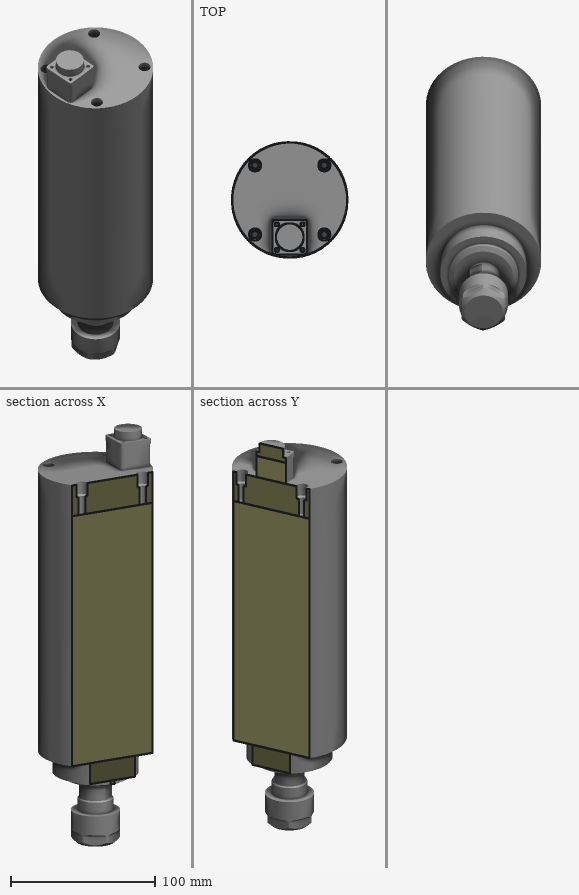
import cadquery as cq

NUT_TOP = 23.0
SHAFT_STEP = 32.5
SEAL_BOTTOM = 46.3
FLANGE_BOTTOM = 50.7
HOUSING_BOTTOM = 65.8
CAP_BOTTOM = 248.2
CAP_TOP = 270.5
PLATE_BOTTOM = 286.5
PLATE_TOP = 290.0
PLUG_TOP = 296.5

HOUSING_DIAMETER = 80.0
FLANGE_DIAMETER = 60.0
CAP_HOLE_SPACING = 48.0
CAP_BORE_DIAMETER = 8.3
CAP_BORE_DEPTH = 9.0
CAP_SEAT_HEIGHT = 1.0
CAP_HOLE_DIAMETER = 5.0

SEAL_DIAMETER = 48.0
SEAL_CHAMFER_WIDTH = 3.5
SEAL_CHAMFER_HEIGHT = 1.8

SHAFT_DIAMETER = 23.0
COLLAR_DIAMETER = 25.0
FLATS_ACROSS = 21.0
FLAT_BOTTOM = 33.2
FLAT_TOP = 44.5
FLAT_ANGLE = 30.0

NUT_DIAMETER = 34.0
HEX_SIDES = 6
HEX_ACROSS = 30.2
HEX_TOP = 9.5
HEX_RUNOUT_RADIUS = 2.0
NOSE_DIAMETER = 26.7
NOSE_HEIGHT = 3.3

CONNECTOR_WIDTH = 24.0
CONNECTOR_Y = -25.8
BLOCK_CORNER_RADIUS = 3.0
PLATE_CORNER_RADIUS = 1.5
PLATE_HOLE_SPACING = 17.8
PLATE_HOLE_DIAMETER = 2.7
PLUG_DIAMETER = 19.3


def plane_at(height, y=0):
    """A horizontal workplane centred on x = 0."""
    return cq.Workplane("XY", origin=(0, y, height))


def cylinder(diameter, bottom, top, y=0):
    """An upright cylinder between two heights."""
    return plane_at(bottom, y).circle(diameter / 2).extrude(top - bottom)


def turned(profile):
    """A solid turned about Z from (radius, height) points."""
    return cq.Workplane("XZ").polyline(profile).close().revolve(360, (0, 0, 0), (0, 1, 0))


def make_housing():
    return cylinder(HOUSING_DIAMETER, HOUSING_BOTTOM, CAP_BOTTOM)


def make_cap():
    """Rear cap with four screw holes, each bored out at the top down to a conical seat."""
    cap = cylinder(HOUSING_DIAMETER, CAP_BOTTOM, CAP_TOP)
    seat_top = CAP_TOP - CAP_BORE_DEPTH
    screw_hole = turned([
        (0, CAP_BOTTOM),
        (CAP_HOLE_DIAMETER / 2, CAP_BOTTOM),
        (CAP_HOLE_DIAMETER / 2, seat_top - CAP_SEAT_HEIGHT),
        (CAP_BORE_DIAMETER / 2, seat_top),
        (CAP_BORE_DIAMETER / 2, CAP_TOP),
        (0, CAP_TOP),
    ])
    for x in (-CAP_HOLE_SPACING / 2, CAP_HOLE_SPACING / 2):
        for y in (-CAP_HOLE_SPACING / 2, CAP_HOLE_SPACING / 2):
            cap = cap.cut(screw_hole.translate((x, y, 0)))
    return cap


def make_flange():
    return cylinder(FLANGE_DIAMETER, FLANGE_BOTTOM, HOUSING_BOTTOM)


def make_seal():
    """Seal ring under the flange, chamfered around its lower rim."""
    radius = SEAL_DIAMETER / 2
    return turned([
        (0, SEAL_BOTTOM),
        (radius - SEAL_CHAMFER_WIDTH, SEAL_BOTTOM),
        (radius, SEAL_BOTTOM + SEAL_CHAMFER_HEIGHT),
        (radius, FLANGE_BOTTOM),
        (0, FLANGE_BOTTOM),
    ])


def make_shaft():
    """Shaft with a chamfered collar above the nut and two opposite wrench flats."""
    shaft_radius = SHAFT_DIAMETER / 2
    collar_radius = COLLAR_DIAMETER / 2
    chamfer = collar_radius - shaft_radius
    shaft = turned([
        (0, NUT_TOP),
        (collar_radius, NUT_TOP),
        (collar_radius, SHAFT_STEP - chamfer),
        (shaft_radius, SHAFT_STEP),
        (shaft_radius, SEAL_BOTTOM),
        (0, SEAL_BOTTOM),
    ])
    flat_height = FLAT_TOP - FLAT_BOTTOM
    ring = cylinder(COLLAR_DIAMETER, FLAT_BOTTOM, FLAT_TOP)
    kept_core = plane_at(FLAT_BOTTOM).rect(FLATS_ACROSS, COLLAR_DIAMETER).extrude(flat_height)
    flat_cutter = ring.cut(kept_core).rotate((0, 0, 0), (0, 0, 1), FLAT_ANGLE)
    return shaft.cut(flat_cutter)


def make_nut():
    """Collet nut with six wrench flats above a conical nose."""
    radius = NUT_DIAMETER / 2
    nut = turned([
        (0, 0),
        (NOSE_DIAMETER / 2, 0),
        (radius, NOSE_HEIGHT),
        (radius, NUT_TOP),
        (0, NUT_TOP),
    ])
    flat_cutter = (
        plane_at(0, HEX_ACROSS / 2)
        .rect(NUT_DIAMETER, NUT_DIAMETER)
        .extrude(HEX_TOP)
        .translate((0, radius, 0))
        .edges(">Z and <Y")
        .fillet(HEX_RUNOUT_RADIUS)
    )
    for side in range(HEX_SIDES):
        nut = nut.cut(flat_cutter.rotate((0, 0, 0), (0, 0, 1), side * 360 / HEX_SIDES))
    return nut


def rounded_square(bottom, top, corner_radius):
    """A square prism at the connector with rounded upright edges."""
    prism = plane_at(bottom, CONNECTOR_Y).rect(CONNECTOR_WIDTH, CONNECTOR_WIDTH).extrude(top - bottom)
    return prism.edges("|Z").fillet(corner_radius)


def make_connector_block():
    return rounded_square(CAP_TOP, PLATE_BOTTOM, BLOCK_CORNER_RADIUS)


def make_connector():
    """Square connector plate with four screw holes and a round plug on top."""
    plate = rounded_square(PLATE_BOTTOM, PLATE_TOP, PLATE_CORNER_RADIUS)
    holes = (
        plane_at(PLATE_BOTTOM, CONNECTOR_Y)
        .rect(PLATE_HOLE_SPACING, PLATE_HOLE_SPACING, forConstruction=True)
        .vertices()
        .circle(PLATE_HOLE_DIAMETER / 2)
        .extrude(PLATE_TOP - PLATE_BOTTOM)
    )
    plug = cylinder(PLUG_DIAMETER, PLATE_TOP, PLUG_TOP, CONNECTOR_Y)
    return plate.cut(holes).union(plug)


housing = make_housing()
cap = make_cap()
flange = make_flange()
seal = make_seal()
shaft = make_shaft()
nut = make_nut()
connector_block = make_connector_block()
connector = make_connector()

result = cq.Compound.makeCompound([
    housing.val(),
    cap.val(),
    flange.val(),
    seal.val(),
    shaft.val(),
    nut.val(),
    connector_block.val(),
    connector.val(),
])